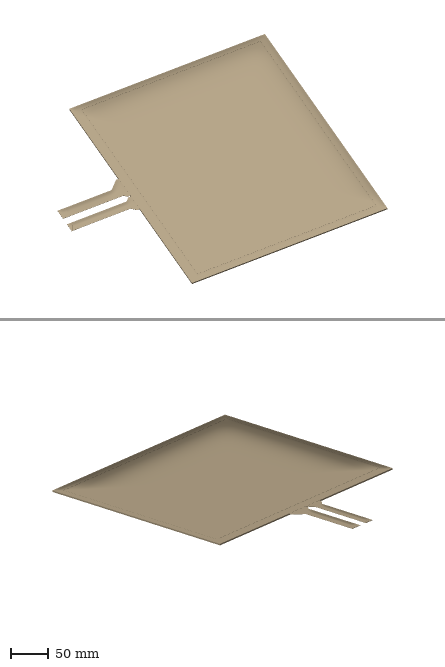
import cadquery as cq

panel_width = 358.5
total_length = 396.5
tail_length = 100.0
panel_length = total_length - tail_length
panel_thickness = 2.2

margin_side = 8.7
margin_back = 11.0
margin_front = 12.5
groove_width = 1.5
groove_width_right = 2.8
groove_depth = 0.2

tail_thickness = 0.5
tail_bottom = 1.5
tail_top = tail_bottom + tail_thickness
tail_overlap = 4.0
shoulder_depth = 4.0

left_root = (-35.3, -0.8)
left_strip = (-21.5, -5.0)
right_root = (0.8, 27.0)
right_strip = (6.5, 20.2)

stiffener_length = 11.0
stiffener_thickness = 0.2
contact_count = 8
contact_length = 4.0
contact_tip_gap = 1.5
contact_thickness = 0.08

tip_y = -tail_length


def box_between(x_range, y_range, z_range):
    """Box given by its limits along each axis."""
    size = [high - low for low, high in (x_range, y_range, z_range)]
    corner = (x_range[0], y_range[0], z_range[0])
    return cq.Workplane("XY").box(*size, centered=False).translate(corner)


def make_panel():
    """Flat panel with a shallow groove framing the active area."""
    half_width = panel_width / 2
    panel = box_between((-half_width, half_width), (0, panel_length), (0, panel_thickness))

    outer_x = half_width - margin_side
    outer_back = panel_length - margin_back
    groove_z = (panel_thickness - groove_depth, panel_thickness)
    outer = box_between((-outer_x, outer_x), (margin_front, outer_back), groove_z)
    island = box_between(
        (-outer_x + groove_width, outer_x - groove_width_right),
        (margin_front + groove_width, outer_back - groove_width),
        groove_z,
    )
    return panel.cut(outer.cut(island))


def make_tail(root, strip):
    """Thin tail: a wide root tapering at 45 degrees on both sides into a straight strip."""
    left_taper_end = shoulder_depth + strip[0] - root[0]
    right_taper_end = shoulder_depth + root[1] - strip[1]
    outline = [
        (root[0], tail_overlap),
        (root[0], -shoulder_depth),
        (strip[0], -left_taper_end),
        (strip[0], tip_y),
        (strip[1], tip_y),
        (strip[1], -right_taper_end),
        (root[1], -shoulder_depth),
        (root[1], tail_overlap),
    ]
    base = cq.Workplane("XY").workplane(offset=tail_bottom)
    return base.polyline(outline).close().extrude(tail_thickness)


def layer_above(thickness):
    """Z limits of a layer lying on top of the tails."""
    return (tail_top, tail_top + thickness)


def layer_below(thickness):
    """Z limits of a layer hanging under the tails."""
    return (tail_bottom - thickness, tail_bottom)


def make_stiffener(strip, z_range):
    """Thin backing plate covering the tip of a tail."""
    return box_between(strip, (tip_y, tip_y + stiffener_length), z_range)


def make_contacts(strip, z_range):
    """Row of equal fingers with equal gaps, set back from the tip."""
    finger_width = (strip[1] - strip[0]) / (2 * contact_count + 1)
    start_y = tip_y + contact_tip_gap
    contacts = cq.Workplane("XY")
    for index in range(contact_count):
        left = strip[0] + (2 * index + 1) * finger_width
        finger = box_between((left, left + finger_width), (start_y, start_y + contact_length), z_range)
        contacts = contacts.add(finger)
    return contacts.combine()


left_tail = (
    make_tail(left_root, left_strip)
    .union(make_stiffener(left_strip, layer_above(stiffener_thickness)))
    .union(make_contacts(left_strip, layer_below(contact_thickness)))
)
right_tail = (
    make_tail(right_root, right_strip)
    .union(make_stiffener(right_strip, layer_below(stiffener_thickness)))
    .union(make_contacts(right_strip, layer_above(contact_thickness)))
)

result = make_panel().union(left_tail).union(right_tail)